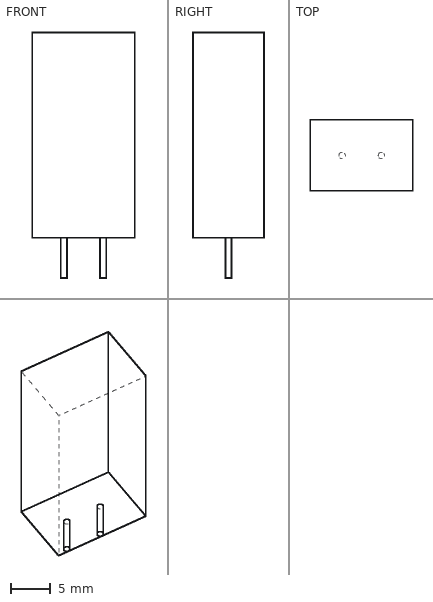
import cadquery as cq

housing_width = 13.0
housing_depth = 9.0
total_height = 31.1

pin_diameter = 0.8
pin_length = 5.1
pin_spacing = 4.98

housing_height = total_height - pin_length


def make_housing():
    return cq.Workplane("XY").box(
        housing_width, housing_depth, housing_height, centered=(True, True, False)
    )


def make_pin(x):
    """Round pin whose top end touches the underside of the housing."""
    return cq.Workplane("XY").center(x, 0).circle(pin_diameter / 2).extrude(-pin_length)


housing = make_housing()
pins = [make_pin(side * pin_spacing / 2) for side in (-1, 1)]

result = cq.Compound.makeCompound([housing.val(), *[pin.val() for pin in pins]])